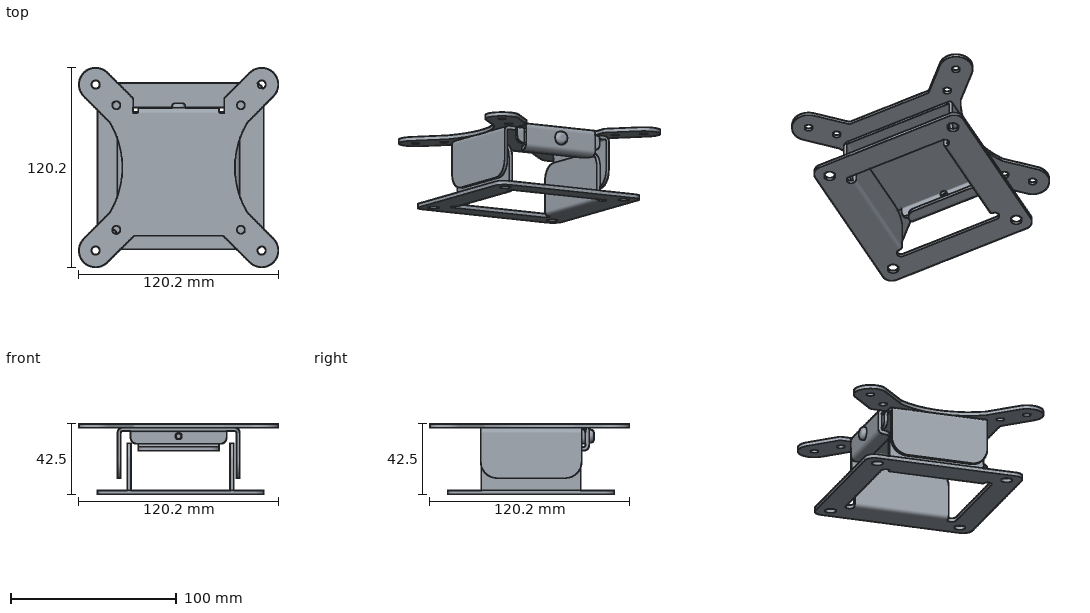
import cadquery as cq
import math

total_height = 42.5
plate_thickness = 2.4
channel_thickness = 2.0
base_thickness = 2.4
inner_bend_radius = 1.0

overall_width = 120.2
outer_hole_offset = 50.0
inner_hole_offset = 37.5
arm_hole_diameter = 4.8
arm_radius = overall_width / 2 - outer_hole_offset
front_edge_y = -41.1
waist_half_width = 33.9
waist_half_chord = 27.0
notch_half_width = 27.4
arm_root_fillet = 2.0

tab_width = 48.8
tab_rear_y = 36.0
tab_bottom_z = 26.2
lip_length = 8.9
lip_corner_radius = 5.4

channel_width = 73.7
channel_length = 61.0
channel_center_y = 1.0
channel_bottom_z = 9.7
leg_corner_radius = 10.0
channel_tab_width = 58.1
channel_tab_bottom_z = 30.3
channel_tab_corner_radius = 4.0

screw_z = 35.0
screw_diameter = 4.0
screw_tip_diameter = 3.2
screw_reach = 2.4
head_diameter = 8.0
head_height = 2.9
head_edge_radius = 2.2

base_size = 100.4
base_center_x = 1.2
base_center_y = 0.8
base_corner_radius = 6.0
base_hole_offset_x = 41.8
base_hole_offset_y = 41.4
base_hole_diameter = 6.7
ear_span = 64.3
ear_length = 60.0
ear_top_z = 30.8
ear_corner_radius = 9.6
relief_diameter = 5.3
relief_overhang = 2.3

plate_bottom_z = total_height - plate_thickness
plate_bend_radius = inner_bend_radius + plate_thickness
channel_bend_radius = inner_bend_radius + channel_thickness
web_bottom_z = plate_bottom_z - channel_thickness
tab_front_y = tab_rear_y - plate_thickness
channel_tab_front_y = tab_front_y - channel_thickness
notch_y = tab_rear_y - plate_bend_radius


def corner_points(offset_x, offset_y):
    """Corners of a rectangle centred on the origin."""
    return [(x, y) for x in (-offset_x, offset_x) for y in (-offset_y, offset_y)]


def near_edge(x, y):
    """Selector for the upright edge of the plate at a corner of its outline."""
    reach = plate_thickness / 4
    return cq.selectors.BoxSelector(
        (x - reach, y - reach, plate_bottom_z + reach),
        (x + reach, y + reach, total_height - reach),
    )


def bend(sheet, outer_edge, inner_edge, thickness):
    """Round a sharp sheet corner with concentric inner and outer radii."""
    inner_selector = cq.selectors.NearestToPointSelector(inner_edge)
    outer_selector = cq.selectors.NearestToPointSelector(outer_edge)
    sheet = sheet.edges(inner_selector).fillet(inner_bend_radius)
    return sheet.edges(outer_selector).fillet(inner_bend_radius + thickness)


def make_plate_sheet():
    """Flat plate with four diagonal arms, side arcs and the notch around the tab."""
    edge_step = arm_radius * math.sqrt(2)
    front_x = -front_edge_y - edge_step
    waist_x = waist_half_chord + edge_step
    notch_side_y = notch_half_width + edge_step
    near = outer_hole_offset - edge_step / 2
    far = outer_hole_offset + edge_step / 2
    right_side = (
        cq.Workplane("XY")
        .workplane(offset=plate_bottom_z)
        .moveTo(0, front_edge_y)
        .lineTo(front_x, front_edge_y)
        .lineTo(near, -far)
        .threePointArc((far, -far), (far, -near))
        .lineTo(waist_x, -waist_half_chord)
        .threePointArc((waist_half_width, 0), (waist_x, waist_half_chord))
        .lineTo(far, near)
        .threePointArc((far, far), (near, far))
        .lineTo(notch_half_width, notch_side_y)
        .lineTo(notch_half_width, notch_y)
        .lineTo(0, notch_y)
        .close()
        .extrude(plate_thickness)
    )
    arm_roots = near_edge(front_x, front_edge_y) + near_edge(notch_half_width, notch_side_y)
    right_side = right_side.edges(arm_roots).fillet(arm_root_fillet)
    sheet = right_side.union(right_side.mirror("YZ"))
    hole_points = [
        point
        for offset in (outer_hole_offset, inner_hole_offset)
        for point in corner_points(offset, offset)
    ]
    holes = (
        cq.Workplane("XY", origin=(0, 0, plate_bottom_z))
        .pushPoints(hole_points)
        .circle(arm_hole_diameter / 2)
        .extrude(plate_thickness)
    )
    return sheet.cut(holes)


def make_tab_strip(width):
    """Strip of plate bent down at the rear, then bent forward into a lip at its foot."""
    root_y = tab_rear_y - 2 * plate_bend_radius
    lip_edge_y = tab_rear_y - lip_length
    lip_top_z = tab_bottom_z + plate_thickness
    strip = (
        cq.Workplane("YZ")
        .polyline([
            (root_y, total_height),
            (tab_rear_y, total_height),
            (tab_rear_y, tab_bottom_z),
            (lip_edge_y, tab_bottom_z),
            (lip_edge_y, lip_top_z),
            (tab_front_y, lip_top_z),
            (tab_front_y, plate_bottom_z),
            (root_y, plate_bottom_z),
        ])
        .close()
        .extrude(width / 2, both=True)
    )
    strip = bend(strip, (0, tab_rear_y, total_height), (0, tab_front_y, plate_bottom_z), plate_thickness)
    return bend(strip, (0, tab_rear_y, tab_bottom_z), (0, tab_front_y, lip_top_z), plate_thickness)


def make_plate_tab():
    """Tab with the free corners of its lip rounded."""
    return make_tab_strip(tab_width).faces("<Y").edges("|Z").fillet(lip_corner_radius)


def make_tab_root():
    """Widened start of the tab bend, hollowed so that the gaps beside the tab end in half circles."""
    gap_radius = (notch_half_width - tab_width / 2) / 2
    gap_center_x = notch_half_width - gap_radius
    bottom_z = plate_bottom_z - inner_bend_radius
    root_height = total_height - bottom_z
    root_zone = (
        cq.Workplane("XY", origin=(0, notch_y + gap_radius / 2, bottom_z))
        .rect(2 * notch_half_width, gap_radius)
        .extrude(root_height)
    )
    gap_ends = (
        cq.Workplane("XY", origin=(0, notch_y + gap_radius, bottom_z))
        .pushPoints([(-gap_center_x, 0), (gap_center_x, 0)])
        .circle(gap_radius)
        .extrude(root_height)
    )
    return make_tab_strip(2 * notch_half_width).intersect(root_zone).cut(gap_ends)


def make_channel():
    """U channel: web under the plate and two legs with rounded lower corners."""
    outer_x = channel_width / 2
    inner_x = outer_x - channel_thickness
    profile = [
        (-outer_x, channel_bottom_z),
        (-outer_x, plate_bottom_z),
        (outer_x, plate_bottom_z),
        (outer_x, channel_bottom_z),
        (inner_x, channel_bottom_z),
        (inner_x, web_bottom_z),
        (-inner_x, web_bottom_z),
        (-inner_x, channel_bottom_z),
    ]
    channel = (
        cq.Workplane("XZ", origin=(0, channel_center_y, 0))
        .polyline(profile)
        .close()
        .extrude(channel_length / 2, both=True)
    )
    for side in (-1, 1):
        outer_edge = (side * outer_x, channel_center_y, plate_bottom_z)
        inner_edge = (side * inner_x, channel_center_y, web_bottom_z)
        channel = bend(channel, outer_edge, inner_edge, channel_thickness)
    return channel.faces("<Z").edges("|X").fillet(leg_corner_radius)


def make_channel_tab():
    """Tab bent down from the rear edge of the channel web, lying against the plate tab."""
    root_y = tab_front_y - 2 * channel_bend_radius
    tab = (
        cq.Workplane("YZ")
        .polyline([
            (root_y, plate_bottom_z),
            (tab_front_y, plate_bottom_z),
            (tab_front_y, channel_tab_bottom_z),
            (channel_tab_front_y, channel_tab_bottom_z),
            (channel_tab_front_y, web_bottom_z),
            (root_y, web_bottom_z),
        ])
        .close()
        .extrude(channel_tab_width / 2, both=True)
    )
    outer_edge = (0, tab_front_y, plate_bottom_z)
    inner_edge = (0, channel_tab_front_y, web_bottom_z)
    tab = bend(tab, outer_edge, inner_edge, channel_thickness)
    return tab.faces("<Z").edges("|Y").fillet(channel_tab_corner_radius)


def make_screw():
    """Screw along Y, its rounded head against the plate tab."""
    head_radius = head_diameter / 2
    shank_radius = screw_diameter / 2
    tip_radius = screw_tip_diameter / 2
    tip_y = channel_tab_front_y - screw_reach
    shank_end_y = tip_y + shank_radius - tip_radius
    top_y = tab_rear_y + head_height
    rim_y = top_y - head_edge_radius
    flat_radius = head_radius - head_edge_radius
    edge_reach = head_edge_radius * math.sqrt(0.5)
    return (
        cq.Workplane("XY")
        .moveTo(0, tip_y)
        .lineTo(tip_radius, tip_y)
        .lineTo(shank_radius, shank_end_y)
        .lineTo(shank_radius, tab_rear_y)
        .lineTo(head_radius, tab_rear_y)
        .lineTo(head_radius, rim_y)
        .threePointArc((flat_radius + edge_reach, rim_y + edge_reach), (flat_radius, top_y))
        .lineTo(0, top_y)
        .close()
        .revolve(360, (0, 0), (0, 1))
        .translate((0, 0, screw_z))
    )


def make_upper_bracket():
    """Plate, channel and screw joined into one body."""
    bracket = make_plate_sheet()
    pieces = (make_plate_tab(), make_tab_root(), make_channel(), make_channel_tab(), make_screw())
    for piece in pieces:
        bracket = bracket.union(piece)
    return bracket


def make_ear(side):
    """Upright ear bent from the edge of the base window, rounded around the outside of the bend."""
    outer_x = side * ear_span / 2
    inner_x = outer_x - side * base_thickness
    rounding_dip = base_thickness * math.sqrt(0.5)
    return (
        cq.Workplane("XZ")
        .moveTo(outer_x, 0)
        .lineTo(outer_x, ear_top_z)
        .lineTo(inner_x, ear_top_z)
        .lineTo(inner_x, base_thickness)
        .threePointArc((outer_x - side * rounding_dip, base_thickness - rounding_dip), (outer_x, 0))
        .close()
        .extrude(ear_length / 2, both=True)
        .faces(">Z").edges("|X").fillet(ear_corner_radius)
    )


def make_base_frame():
    """Square frame with corner holes, a window with relief slots, and two upright ears."""
    frame = (
        cq.Workplane("XY")
        .rect(base_size, base_size)
        .extrude(base_thickness)
        .edges("|Z").fillet(base_corner_radius)
        .faces(">Z").workplane()
        .pushPoints(corner_points(base_hole_offset_x, base_hole_offset_y))
        .hole(base_hole_diameter)
    )
    window = (
        cq.Workplane("XY")
        .rect(ear_span, ear_length)
        .extrude(base_thickness)
    )
    slot_offset = (ear_length + relief_diameter) / 2
    slots = (
        cq.Workplane("XY")
        .pushPoints([(0, -slot_offset), (0, slot_offset)])
        .slot2D(ear_span + 2 * relief_overhang, relief_diameter)
        .extrude(base_thickness)
    )
    frame = frame.cut(window).cut(slots)
    for side in (-1, 1):
        frame = frame.union(make_ear(side))
    return frame.translate((base_center_x, base_center_y, 0))


upper_bracket = make_upper_bracket()
base_frame = make_base_frame()
result = cq.Compound.makeCompound([upper_bracket.val(), base_frame.val()])